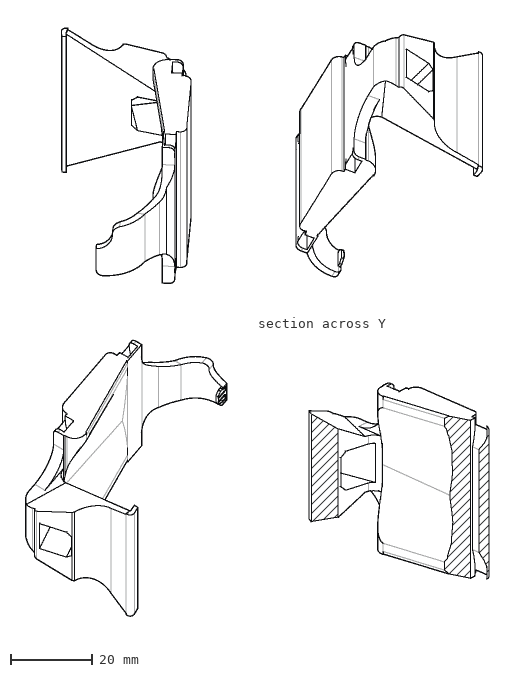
import cadquery as cq
import math

TILT = -20
HEIGHT = 44.0
HALF_HEIGHT = HEIGHT / 2
ARM_HALF_HEIGHT = 7.75

PLATE_LENGTH = 33.15
PLATE_DEPTH = 3.1
BLOCK_BACK = 5.55
BLOCK_START = 5.85
BLOCK_END = 27.0
RAMP_START = (3.9, -4.1)
RAMP_END = (27.15, 0)
END_CORNER_RADIUS = 1.4
RIM_BEVEL_HEIGHT = 0.9
RIM_BEVEL_DEPTH = 0.25

DISH_HALF_HEIGHT = 18.9
DISH_RIM_DEPTH = 4.8
DISH_BULGE = 1.25
DISH_END_DROP = 0.6
DISH_END_BULGE = 0.2
DISH_CUT_DEPTH = 9.5

SLOT_LENGTH = 4.05
SLOT_WIDTH = 1.6
SLOT_FLOOR = 0.55
SLOT_STARTS = (0.95, 28.1)
BAR_BACK_TOP = 20.25
BAR_SLOT_TOP = 14.3

LEFT_SHOULDER_RADIUS = 8.0
RIGHT_SHOULDER_RADIUS = 8.7

FLARE_HINGE = (-3.2, -2.85)
FLARE_HINGE_ANGLE = -21
FLARE_SLOPE = 30
HOOK_OUTER = (-10.05, -25.9)
HOOK_INNER = (-8.5, -26.25)

WINDOW_ANGLE = 13
WINDOW_BOTTOM = -8.6
WINDOW_TOP = -0.1
WINDOW_HALF_HEIGHT = 5.4
WINDOW_CHAMFER = 1.35
WINDOW_REACH = 23.8
WINDOW_STOP = -1.2

TIP_Y = -15.35
TIP_INNER_X = 46.0
TIP_OUTER_X = 47.6
TIP_NOTCH_Z = 0.85
TIP_CORNER_RADIUS = 1.65
LIP_TOP = 0.1
LIP_BOTTOM = -5.2
LIP_START = 44.1
LIP_THICKNESS = 0.85
LIP_CORNER = 1.1
LIP_RECESS_DEPTH = 0.2
LIP_RECESS_END = 46.95
LIP_RIB_TOP = -1.6
LIP_RIB_BOTTOM = -3.35

FAR = 71.45


def upright(outline, half_height):
    """Extrude a closed plan outline equally above and below z = 0."""
    return outline.close().extrude(half_height, both=True)


def block(x0, x1, y0, y1, z0, z1):
    """Box given by its limits along each axis."""
    return cq.Workplane("XY").box(x1 - x0, y1 - y0, z1 - z0, centered=False).translate((x0, y0, z0))


def rotated_plane(origin, angle):
    """Plane across a plan direction: local x is that direction, local y is Z."""
    direction = (math.cos(math.radians(angle)), math.sin(math.radians(angle)), 0)
    normal = (direction[1], -direction[0], 0)
    return cq.Workplane(cq.Plane(origin=(origin[0], origin[1], 0), xDir=direction, normal=normal))


def make_plate():
    outline = (
        cq.Workplane("XY")
        .moveTo(0, PLATE_DEPTH)
        .lineTo(0, 0)
        .lineTo(0.2, -0.25)
        .lineTo(0.2, -0.9)
        .threePointArc((1.15, -3.05), RAMP_START)
        .lineTo(*RAMP_END)
        .lineTo(PLATE_LENGTH, 0)
        .lineTo(PLATE_LENGTH, PLATE_DEPTH)
        .lineTo(BLOCK_END, PLATE_DEPTH)
        .lineTo(BLOCK_END, 4.15)
        .threePointArc((26.45, 5.25), (25.05, BLOCK_BACK))
        .lineTo(7.8, BLOCK_BACK)
        .threePointArc((6.5, 4.95), (BLOCK_START, 3.6))
        .lineTo(BLOCK_START, PLATE_DEPTH)
    )
    return upright(outline, HALF_HEIGHT)


def dish_section(x, rim_y, middle_y, bulge):
    """Cross-section of the dish at x: two arcs meeting in a crease at z = 0."""
    quarter_y = (rim_y + middle_y) / 2 + bulge
    half = DISH_HALF_HEIGHT / 2
    return (
        cq.Workplane("YZ", origin=(x, 0, 0))
        .moveTo(rim_y, -DISH_HALF_HEIGHT)
        .threePointArc((quarter_y, -half), (middle_y, 0))
        .threePointArc((quarter_y, half), (rim_y, DISH_HALF_HEIGHT))
        .lineTo(-DISH_CUT_DEPTH, DISH_HALF_HEIGHT)
        .lineTo(-DISH_CUT_DEPTH, -DISH_HALF_HEIGHT)
        .close()
        .wire()
        .val()
    )


def make_dish():
    start = dish_section(0, -DISH_RIM_DEPTH, 0, DISH_BULGE)
    end = dish_section(RAMP_END[0], RAMP_END[1], -DISH_END_DROP, DISH_END_BULGE)
    return cq.Workplane(cq.Solid.makeLoft([start, end], True))


def make_rim_bevels():
    """Shallow wedges along the ramped inner edges at the top and bottom."""
    angle = math.degrees(math.atan2(RAMP_END[1] - RAMP_START[1], RAMP_END[0] - RAMP_START[0]))
    length = math.dist(RAMP_START, RAMP_END)
    wedge = (
        rotated_plane(RAMP_START, angle + 90)
        .polyline([
            (-RIM_BEVEL_DEPTH, HALF_HEIGHT - RIM_BEVEL_HEIGHT),
            (0, HALF_HEIGHT - RIM_BEVEL_HEIGHT),
            (RIM_BEVEL_DEPTH, HALF_HEIGHT),
            (-RIM_BEVEL_DEPTH, HALF_HEIGHT),
        ])
        .close()
        .extrude(length)
    )
    return wedge.union(wedge.mirror("XY"))


def cut_slots(plate):
    """Cut the slots through, leaving a bar with hollowed ends behind each one."""
    slot_back = SLOT_FLOOR + SLOT_WIDTH
    hollow = ((slot_back + PLATE_DEPTH) / 2, BAR_SLOT_TOP + (BAR_BACK_TOP - BAR_SLOT_TOP) / 3)
    for x in SLOT_STARTS:
        plate = plate.cut(block(x, x + SLOT_LENGTH, SLOT_FLOOR, slot_back, -FAR, FAR))
        above_bar = (
            cq.Workplane("YZ", origin=(x, 0, 0))
            .moveTo(slot_back, HALF_HEIGHT)
            .lineTo(slot_back, BAR_SLOT_TOP)
            .threePointArc(hollow, (PLATE_DEPTH, BAR_BACK_TOP))
            .lineTo(PLATE_DEPTH, HALF_HEIGHT)
            .close()
            .extrude(SLOT_LENGTH)
        )
        plate = plate.cut(above_bar).cut(above_bar.mirror("XY"))
    return plate


def round_end_walls(plate):
    """Round the back corners of the thin walls that close the slots at the plate ends."""
    left_wall = SLOT_STARTS[0] / 2
    right_wall = (SLOT_STARTS[1] + SLOT_LENGTH + PLATE_LENGTH) / 2
    for x in (left_wall, right_wall):
        for z in (-HALF_HEIGHT, HALF_HEIGHT):
            corner = cq.selectors.NearestToPointSelector((x, PLATE_DEPTH, z))
            plate = plate.edges("|X").edges(corner).fillet(END_CORNER_RADIUS)
    return plate


def shoulder_profile(end_x, side, radius):
    """Elevation of an arm: full band at the plate end, narrowing through two concave arcs."""
    narrow_x = end_x + side * radius
    wide = ARM_HALF_HEIGHT + radius
    arc_x = narrow_x - side * radius * math.sqrt(0.5)
    arc_z = wide - radius * math.sqrt(0.5)
    return (
        cq.Workplane("XZ")
        .moveTo(end_x, wide)
        .threePointArc((arc_x, arc_z), (narrow_x, ARM_HALF_HEIGHT))
        .lineTo(end_x + side * FAR, ARM_HALF_HEIGHT)
        .lineTo(end_x + side * FAR, -ARM_HALF_HEIGHT)
        .lineTo(narrow_x, -ARM_HALF_HEIGHT)
        .threePointArc((arc_x, -arc_z), (end_x, -wide))
        .close()
        .extrude(FAR, both=True)
    )


def make_left_arm():
    web = block(-LEFT_SHOULDER_RADIUS, 0, 0, PLATE_DEPTH, -HALF_HEIGHT, HALF_HEIGHT)
    web = web.intersect(shoulder_profile(0, -1, LEFT_SHOULDER_RADIUS))

    outline = (
        cq.Workplane("XY")
        .moveTo(0, 0)
        .threePointArc((-1.85, -0.55), (-3.0, -1.9))
        .lineTo(*HOOK_INNER)
        .lineTo(*HOOK_OUTER)
        .lineTo(-9.0, -20.55)
        .threePointArc((-9.7, -15.2), (-13.1, -12.5))
        .lineTo(-13.45, -12.0)
        .lineTo(-15.7, -3.0)
        .threePointArc((-15.6, -2.3), (-14.95, -1.9))
        .lineTo(-14.9, -1.2)
        .threePointArc((-13.95, 1.35), (-10.95, PLATE_DEPTH))
        .lineTo(0, PLATE_DEPTH)
    )
    flare_run = (HALF_HEIGHT - ARM_HALF_HEIGHT) / math.tan(math.radians(FLARE_SLOPE))
    flare = (
        rotated_plane(FLARE_HINGE, FLARE_HINGE_ANGLE - 90)
        .polyline([
            (-FAR, ARM_HALF_HEIGHT),
            (0, ARM_HALF_HEIGHT),
            (flare_run, HALF_HEIGHT),
            (flare_run, -HALF_HEIGHT),
            (0, -ARM_HALF_HEIGHT),
            (-FAR, -ARM_HALF_HEIGHT),
        ])
        .close()
        .extrude(FAR, both=True)
    )
    arm = upright(outline, HALF_HEIGHT).intersect(flare)

    hook = (
        cq.Workplane("XY")
        .moveTo(*HOOK_OUTER)
        .lineTo(*HOOK_INNER)
        .lineTo(-6.85, -26.1)
        .lineTo(-6.9, -27.15)
        .lineTo(-8.8, -27.45)
        .threePointArc((-9.95, -26.85), HOOK_OUTER)
    )
    return web.union(arm.cut(make_window())).union(upright(hook, HALF_HEIGHT))


def make_window():
    opening = block(
        -WINDOW_REACH, WINDOW_STOP, WINDOW_BOTTOM, WINDOW_TOP, -WINDOW_HALF_HEIGHT, WINDOW_HALF_HEIGHT
    )
    opening = opening.edges("|X and <Y").chamfer(WINDOW_CHAMFER)
    return opening.rotate((0, 0, 0), (0, 0, 1), WINDOW_ANGLE)


def make_right_arm():
    outline = (
        cq.Workplane("XY")
        .moveTo(PLATE_LENGTH, 0)
        .threePointArc((35.5, -0.5), (37.5, -2.0))
        .lineTo(41.8, -5.7)
        .threePointArc((45.35, -10.05), (TIP_INNER_X, -14.6))
        .lineTo(TIP_INNER_X, TIP_Y)
        .lineTo(TIP_OUTER_X, TIP_Y)
        .threePointArc((46.75, -8.75), (41.85, -3.7))
        .lineTo(38.1, -0.3)
        .threePointArc((36.75, 0.7), (35.25, 1.2))
        .lineTo(PLATE_LENGTH, PLATE_DEPTH)
    )
    arm = upright(outline, HALF_HEIGHT)
    arm = arm.intersect(shoulder_profile(PLATE_LENGTH, 1, RIGHT_SHOULDER_RADIUS))
    arm = arm.cut(make_tip_notch())
    tip_corner = ((TIP_INNER_X + TIP_OUTER_X) / 2, TIP_Y, -ARM_HALF_HEIGHT)
    arm = arm.edges(cq.selectors.NearestToPointSelector(tip_corner)).fillet(TIP_CORNER_RADIUS)

    lip = block(LIP_START, LIP_RECESS_END, TIP_Y, TIP_Y + LIP_THICKNESS, LIP_BOTTOM, LIP_TOP)
    lip = lip.edges("|Y and <X").chamfer(LIP_CORNER)
    arm = arm.union(lip)
    for z0, z1 in ((LIP_BOTTOM, LIP_RIB_BOTTOM), (LIP_RIB_TOP, LIP_TOP)):
        arm = arm.cut(block(LIP_START, LIP_RECESS_END, TIP_Y, TIP_Y + LIP_RECESS_DEPTH, z0, z1))
    return arm


def make_tip_notch():
    """S-curved cut that narrows the tip from above."""
    return (
        cq.Workplane("YZ", origin=(PLATE_LENGTH + RIGHT_SHOULDER_RADIUS, 0, 0))
        .moveTo(-9.35, ARM_HALF_HEIGHT)
        .threePointArc((-10.7, 7.25), (-11.3, 5.65))
        .threePointArc((-12.45, 2.45), (TIP_Y, TIP_NOTCH_Z))
        .lineTo(TIP_Y, ARM_HALF_HEIGHT)
        .close()
        .extrude(FAR)
    )


plate = make_plate().cut(make_dish()).cut(make_rim_bevels())
plate = round_end_walls(cut_slots(plate))
part = plate.union(make_left_arm()).union(make_right_arm())
result = part.rotate((0, 0, 0), (0, 0, 1), TILT)